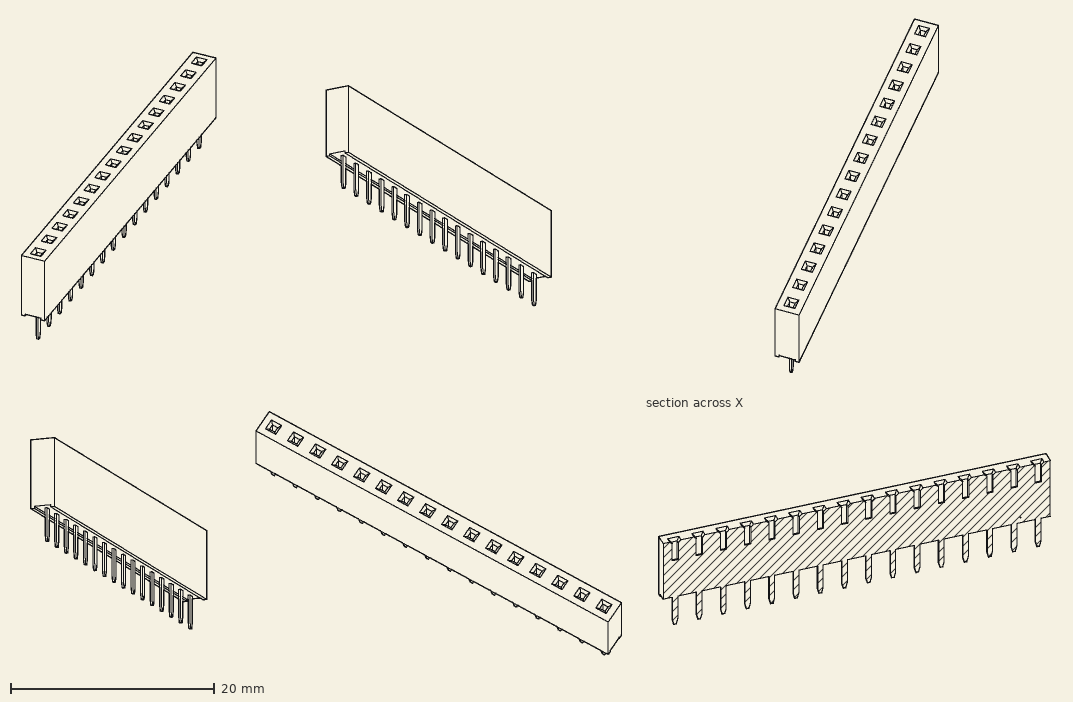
import cadquery as cq

contact_count = 16
strip_length = 40.65
strip_width = 2.5
total_height = 10.1
housing_height = 7.0
pitch = strip_length / contact_count

channel_width = 1.7
channel_depth = 0.2

mouth_size_x = 1.15
mouth_size_y = 1.18
shaft_size_x = 0.55
shaft_size_y = 0.6
lead_in_depth = 0.3
shaft_depth = 2.45

blade_thickness = 0.2
blade_width = shaft_size_y
tip_width = 0.3
tip_length = 0.6
blade_rise = 0.4

housing_bottom = total_height - housing_height
shaft_floor = total_height - lead_in_depth - shaft_depth
blade_top = shaft_floor + blade_rise

contact_places = [(i - (contact_count - 1) / 2) * pitch for i in range(contact_count)]


def make_bar(width, height):
    """Bar along the full strip length, standing on the housing bottom."""
    return (
        cq.Workplane("XY", origin=(0, 0, housing_bottom))
        .rect(width, strip_length)
        .extrude(height)
    )


def make_housing():
    """Plain strip with the channel cut in its underside."""
    return make_bar(strip_width, housing_height).cut(make_bar(channel_width, channel_depth))


def make_socket():
    """Hollow of one socket, centred on the Z axis."""
    lead_in = (
        cq.Workplane("XY", origin=(0, 0, total_height))
        .rect(mouth_size_x, mouth_size_y)
        .workplane(offset=-lead_in_depth)
        .rect(shaft_size_x, shaft_size_y)
        .loft(ruled=True)
    )
    shaft = (
        cq.Workplane("XY", origin=(0, 0, shaft_floor))
        .rect(shaft_size_x, shaft_size_y)
        .extrude(shaft_depth)
    )
    return lead_in.union(shaft)


def make_blade():
    """One contact blade, centred on the Z axis, tip at Z = 0."""
    return (
        cq.Workplane("YZ")
        .moveTo(-tip_width / 2, 0)
        .lineTo(tip_width / 2, 0)
        .lineTo(blade_width / 2, tip_length)
        .lineTo(blade_width / 2, blade_top)
        .lineTo(-blade_width / 2, blade_top)
        .lineTo(-blade_width / 2, tip_length)
        .close()
        .extrude(blade_thickness / 2, both=True)
    )


result = make_housing()
socket = make_socket()
blade = make_blade()
for y in contact_places:
    result = result.cut(socket.translate((0, y, 0)))
    result = result.union(blade.translate((0, y, 0)))